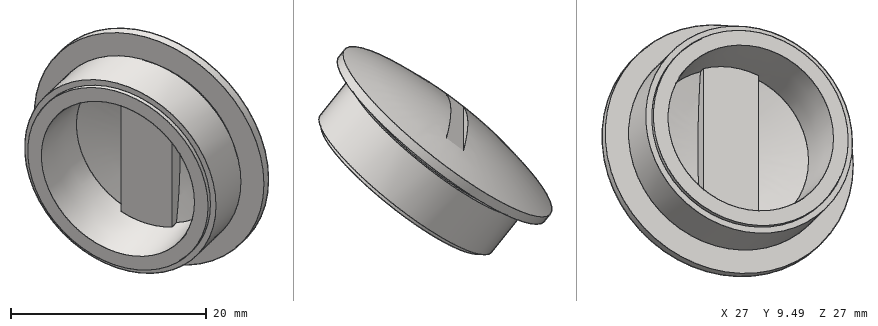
import math

import cadquery as cq


head_radius = 27.0 / 2
head_rim_thickness = 1.0
dome_height = 2.0

lip_length = 0.5
collar_length = 5.2
neck_length = 0.8
collar_radius = 22.5 / 2
neck_radius = 21.2 / 2

mouth_radius = 18.0 / 2
bore_draft_angle = 2.0
dome_wall = 1.75

slot_width = 2.2
slot_depth = 0.75
rib_width = 6.0
rib_depth_from_mouth = 6.0

collar_start = lip_length
collar_end = collar_start + collar_length
head_start = collar_end + neck_length
dome_start = head_start + head_rim_thickness
apex = dome_start + dome_height

dome_radius = (head_radius**2 + dome_height**2) / (2 * dome_height)
dome_center = apex - dome_radius
ceiling_radius = dome_radius - dome_wall


def sphere_height(radius, distance_from_axis):
    """Axial position of a sphere about dome_center at a distance from the axis."""
    return dome_center + math.sqrt(radius**2 - distance_from_axis**2)


def make_outer_body():
    mid_radius = head_radius / 2
    profile = (
        cq.Workplane("XY")
        .moveTo(0, 0)
        .lineTo(neck_radius, 0)
        .lineTo(neck_radius, collar_start)
        .lineTo(collar_radius, collar_start)
        .lineTo(collar_radius, collar_end)
        .lineTo(neck_radius, collar_end)
        .lineTo(neck_radius, head_start)
        .lineTo(head_radius, head_start)
        .lineTo(head_radius, dome_start)
        .threePointArc((mid_radius, sphere_height(dome_radius, mid_radius)), (0, apex))
        .close()
    )
    return profile.revolve(360, (0, 0, 0), (0, 1, 0))


def make_bore():
    """Tapered cone reaching past the ceiling, trimmed by the ceiling sphere."""
    end_radius = mouth_radius - apex * math.tan(math.radians(bore_draft_angle))
    cone = (
        cq.Workplane("XY")
        .polyline([(0, 0), (mouth_radius, 0), (end_radius, apex), (0, apex)])
        .close()
        .revolve(360, (0, 0, 0), (0, 1, 0))
    )
    ceiling = cq.Workplane("XZ").sphere(ceiling_radius).translate((0, dome_center, 0))
    return cone.intersect(ceiling)


def make_cross_bar(width, start, end):
    """Bar spanning the whole head along Z, between two axial positions."""
    return (
        cq.Workplane("XY")
        .box(width, end - start, 2 * head_radius, centered=(True, False, True))
        .translate((0, start, 0))
    )


rib_space = make_cross_bar(rib_width, rib_depth_from_mouth, apex)
slot = make_cross_bar(slot_width, apex - slot_depth, apex)

cavity = make_bore().cut(rib_space)
result = make_outer_body().cut(cavity).cut(slot)